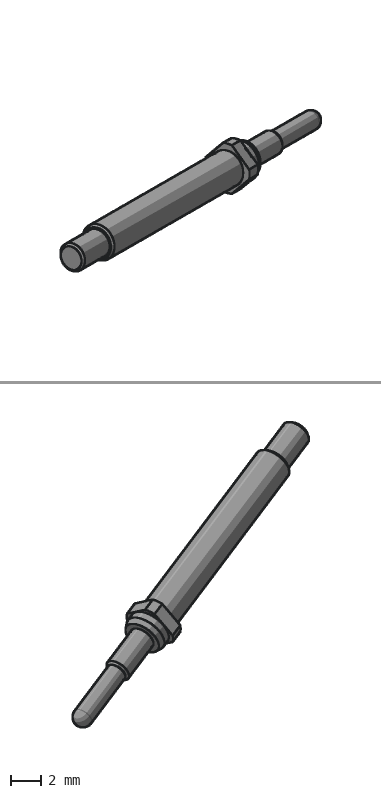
import cadquery as cq


tail_length = 3.0
body_length = 15.0
flange_length = 1.0
collar_length = 1.0
sleeve_length = 3.3
plunger_length = 5.0

tail_diameter = 2.0
body_diameter = 2.58
collar_diameter = 2.95
sleeve_diameter = 1.75
plunger_diameter = 1.4

flange_across_flats = 3.0
flange_corner_diameter = 3.6

end_chamfer = 0.17
sleeve_chamfer = 0.17
collar_taper_length = 0.42
collar_taper_depth = 0.17

body_start = tail_length
flange_start = body_start + body_length
collar_start = flange_start + flange_length
sleeve_start = collar_start + collar_length
plunger_start = sleeve_start + sleeve_length


def rod(diameter, length, start):
    """Cylinder on the Y axis, growing toward +Y from the given station."""
    return cq.Workplane("XZ", origin=(0, start, 0)).circle(diameter / 2).extrude(-length)


def make_flange():
    """Square plate turned 45 degrees, its corners trimmed by a cylinder."""
    square = (
        cq.Workplane("XZ", origin=(0, flange_start, 0))
        .transformed(rotate=(0, 0, 45))
        .rect(flange_across_flats, flange_across_flats)
        .extrude(-flange_length)
    )
    return square.intersect(rod(flange_corner_diameter, flange_length, flange_start))


def make_collar():
    """Short shoulder with a steep taper on its +Y end."""
    collar = rod(collar_diameter, collar_length, collar_start)
    return collar.faces(">Y").chamfer(collar_taper_length, collar_taper_depth)


def make_plunger():
    """Slim rod that ends in a hemisphere."""
    tip_radius = plunger_diameter / 2
    straight_length = plunger_length - tip_radius
    tip_center = plunger_start + straight_length
    tip = cq.Workplane("XY").sphere(tip_radius).translate((0, tip_center, 0))
    return rod(plunger_diameter, straight_length, plunger_start).union(tip)


tail = rod(tail_diameter, tail_length, 0).faces("<Y").chamfer(end_chamfer)
body = rod(body_diameter, body_length, body_start).faces("<Y").chamfer(end_chamfer)
sleeve = rod(sleeve_diameter, sleeve_length, sleeve_start).faces(">Y").chamfer(sleeve_chamfer)

result = (
    tail.union(body)
    .union(make_flange())
    .union(make_collar())
    .union(sleeve)
    .union(make_plunger())
)